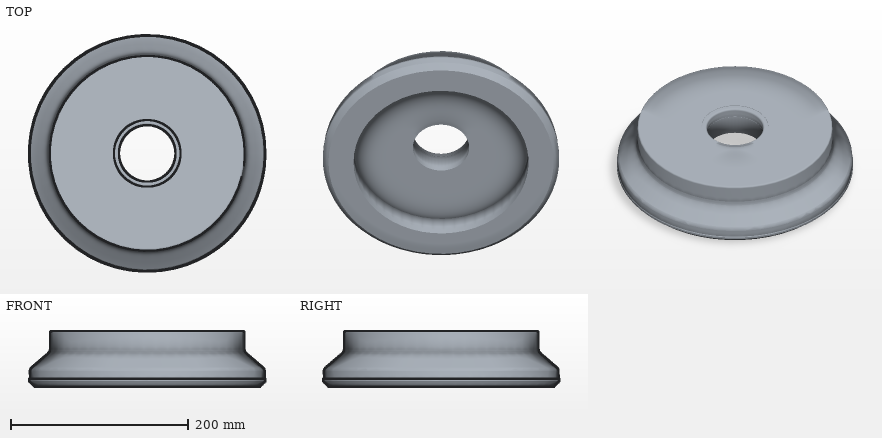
import cadquery as cq

rim_radius = 133.5
rim_height = 9.3
rim_chamfer = 6.5
rim_edge_chamfer = 0.5
rim_corner_round = 1.3

total_height = 63.0
skirt_radius = 132.6
neck_radius = 110.0
skirt_corner_height = 20.0
neck_corner_height = 39.5
shoulder_round = 5.3
neck_top_round = 2.1

seat_radius = 37.5
seat_depth = 0.5
bore_radius = 31.8
mouth_round = 2.5
groove_top_depth = 8.0
groove_width = 3.7
groove_depth = 0.3
groove_radius = bore_radius + groove_depth

cavity_radius = 98.8
web_thickness = 34.7
cavity_height = total_height - web_thickness


def at_height(edge_height):
    """Selector for the circular edges lying at one height."""
    margin = 0.03
    reach = 2 * rim_radius
    return cq.selectors.BoxSelector(
        (-reach, -reach, edge_height - margin),
        (reach, reach, edge_height + margin),
        boundingbox=True,
    )


def make_hub_blank():
    """Revolved skirt, cone and neck with rounded corners."""
    profile = [
        (0, rim_height),
        (skirt_radius, rim_height),
        (skirt_radius, skirt_corner_height),
        (neck_radius, neck_corner_height),
        (neck_radius, total_height),
        (0, total_height),
    ]
    blank = cq.Workplane("XZ").polyline(profile).close().revolve(360, (0, 0), (0, 1))
    for corner_height in (skirt_corner_height, neck_corner_height):
        blank = blank.edges(at_height(corner_height)).fillet(shoulder_round)
    return blank.edges(at_height(total_height)).fillet(neck_top_round)


def make_bore():
    """Bore with a shallow seat around its mouth and a shallow groove."""
    seat_floor = total_height - seat_depth
    groove_top = total_height - groove_top_depth
    groove_bottom = groove_top - groove_width
    profile = [
        (0, cavity_height),
        (bore_radius, cavity_height),
        (bore_radius, groove_bottom),
        (groove_radius, groove_bottom),
        (groove_radius, groove_top),
        (bore_radius, groove_top),
        (bore_radius, seat_floor),
        (seat_radius, seat_floor),
        (seat_radius, total_height),
        (0, total_height),
    ]
    return cq.Workplane("XZ").polyline(profile).close().revolve(360, (0, 0), (0, 1))


def make_hub():
    """Upper body: hub with its bore, rounded bore mouth and hollow underside."""
    cavity = cq.Workplane("XY").circle(cavity_radius).extrude(cavity_height)
    hub_body = make_hub_blank().cut(cavity).cut(make_bore())
    seat_edges = hub_body.edges(at_height(total_height - seat_depth))
    return seat_edges.edges(cq.selectors.RadiusNthSelector(0)).fillet(mouth_round)


def make_rim_ring():
    """Lower body: flat ring, chamfered outside, with a rounded corner above the lower chamfer."""
    disc = cq.Workplane("XY").circle(rim_radius).extrude(rim_height)
    disc = disc.faces("<Z").edges().chamfer(rim_chamfer)
    disc = disc.edges(at_height(rim_chamfer)).fillet(rim_corner_round)
    disc = disc.faces(">Z").edges().chamfer(rim_edge_chamfer)
    opening = cq.Workplane("XY").circle(cavity_radius).extrude(rim_height)
    return disc.cut(opening)


hub = make_hub()
rim_ring = make_rim_ring()

result = cq.Compound.makeCompound([hub.val(), rim_ring.val()])